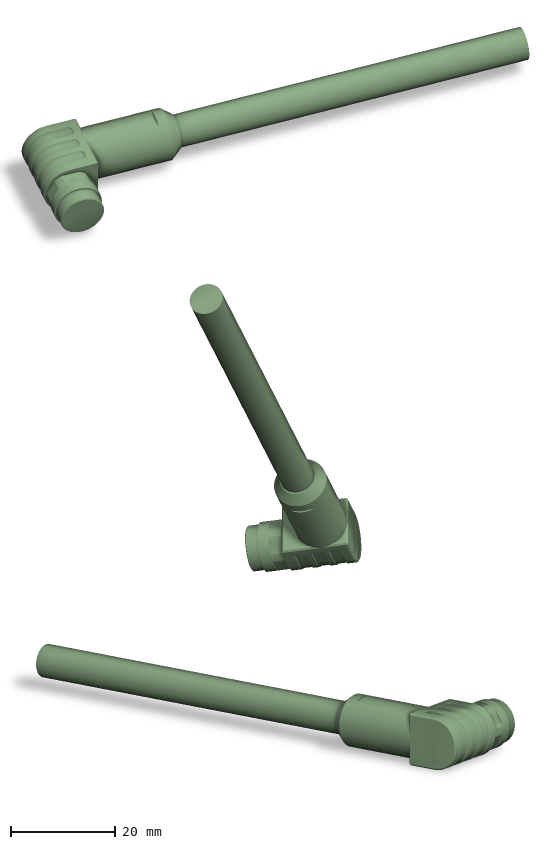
import cadquery as cq
import math

overall_length = 100.3
overall_width = 20.7

housing_diameter = 10.3
housing_radius = housing_diameter / 2
housing_width = 13.0
housing_back = 5.9
housing_chamfer = 0.3

groove_count = 3
groove_pitch = 3.4
groove_floor_width = 1.9
groove_mouth_width = 2.2
groove_depth = 0.2
groove_reach = 4.1
groove_corner_radius = 0.6
groove_wall_run = (groove_mouth_width - groove_floor_width) / 2
groove_wall_angle = math.degrees(math.atan2(groove_wall_run, groove_depth))

recess_width = 1.6
recess_height = 8.2
recess_y = -0.1
recess_depth = 0.1

cable_diameter = 6.5
sleeve_diameter = housing_diameter
sleeve_tip_diameter = 7.2
sleeve_taper = 2.0
sleeve_start = housing_back - housing_chamfer
sleeve_end = 24.3
cable_axis_x = sleeve_diameter / 2
cable_end = overall_length - housing_radius

notch_width = 0.5
notch_depth = 0.5
notch_y = 20.1

neck_diameter = 6.5
ring_diameter = 9.6
tip_diameter = 8.8
hex_across_flats = 9.0
hex_turn = 30
collar_start = 13.4
hex_end = 15.8
ring_end = 18.1
tip_chamfer = 0.2


def plug_cylinder(diameter, start, end):
    """Round length of the plug between two positions along X."""
    return cq.Workplane("YZ").workplane(offset=start).circle(diameter / 2).extrude(end - start)


def make_groove_cutter():
    """Groove with slanted walls, centred on X = 0: round the nose and along both flat faces."""
    floor_radius = housing_radius - groove_depth
    half_floor = groove_floor_width / 2
    half_mouth = groove_mouth_width / 2
    cutter = (
        cq.Workplane("XY")
        .moveTo(-half_floor, floor_radius)
        .lineTo(half_floor, floor_radius)
        .lineTo(half_mouth, housing_radius)
        .lineTo(-half_mouth, housing_radius)
        .close()
        .revolve(360, (0, 0, 0), (1, 0, 0))
    )
    behind_nose = cq.Workplane("XY").box(
        housing_width, housing_diameter, 2 * housing_diameter, centered=(True, False, True)
    )
    cutter = cutter.cut(behind_nose)
    top_run = (
        cq.Workplane("XY", origin=(0, 0, floor_radius))
        .moveTo(-half_floor, 0)
        .lineTo(-half_floor, groove_reach - groove_corner_radius)
        .radiusArc((-half_floor + groove_corner_radius, groove_reach), groove_corner_radius)
        .lineTo(half_floor - groove_corner_radius, groove_reach)
        .radiusArc((half_floor, groove_reach - groove_corner_radius), groove_corner_radius)
        .lineTo(half_floor, 0)
        .close()
        .extrude(groove_depth, taper=-groove_wall_angle)
    )
    return cutter.union(top_run).union(top_run.mirror("XY"))


def make_housing():
    """Bar along X, round toward -Y and flat on the top, bottom and back."""
    housing = (
        cq.Workplane("YZ")
        .moveTo(housing_back, -housing_radius)
        .lineTo(0, -housing_radius)
        .threePointArc((-housing_radius, 0), (0, housing_radius))
        .lineTo(housing_back, housing_radius)
        .close()
        .extrude(housing_width)
        .faces("<X or >Y")
        .edges()
        .chamfer(housing_chamfer)
    )
    groove_cutter = make_groove_cutter()
    for index in range(groove_count):
        groove_x = housing_width / 2 + (index - (groove_count - 1) / 2) * groove_pitch
        housing = housing.cut(groove_cutter.translate((groove_x, 0, 0)))
    recess = cq.Workplane("XY").box(2 * recess_depth, recess_width, recess_height)
    return housing.cut(recess.translate((0, recess_y, 0)))


def make_cable():
    """Sleeve and cable turned about the cable axis, with a notch above and below."""
    cable = (
        cq.Workplane("XY")
        .moveTo(0, sleeve_start)
        .lineTo(sleeve_diameter / 2, sleeve_start)
        .lineTo(sleeve_diameter / 2, sleeve_end - sleeve_taper)
        .lineTo(sleeve_tip_diameter / 2, sleeve_end)
        .lineTo(cable_diameter / 2, sleeve_end)
        .lineTo(cable_diameter / 2, cable_end)
        .lineTo(0, cable_end)
        .close()
        .revolve(360, (0, 0, 0), (0, 1, 0))
        .translate((cable_axis_x, 0, 0))
    )
    for side in (-1, 1):
        notch = cq.Workplane("XY").box(sleeve_diameter, notch_width, 2 * notch_depth)
        cable = cable.cut(notch.translate((cable_axis_x, notch_y, side * sleeve_diameter / 2)))
    return cable


def make_plug():
    """Neck, ring with a hexagonal wrench section, and tip."""
    neck = plug_cylinder(neck_diameter, housing_width, collar_start)
    ring = plug_cylinder(ring_diameter, collar_start, ring_end)
    tip = plug_cylinder(tip_diameter, ring_end, overall_width).faces(">X").chamfer(tip_chamfer)
    hexagon = (
        cq.Workplane("YZ")
        .workplane(offset=collar_start)
        .transformed(rotate=(0, 0, hex_turn))
        .polygon(6, hex_across_flats, circumscribed=True)
        .extrude(hex_end - collar_start)
    )
    flats = plug_cylinder(2 * ring_diameter, collar_start, hex_end).cut(hexagon)
    return neck.union(ring.cut(flats)).union(tip)


result = make_housing().union(make_cable()).union(make_plug())